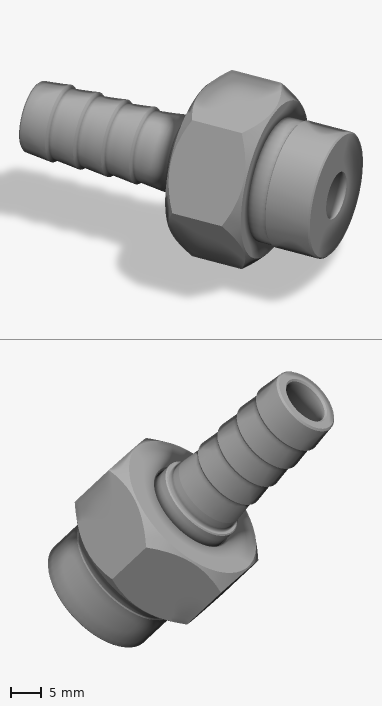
import cadquery as cq
import math


BORE_DIAMETER = 8.0
BORE_CHAMFER = 0.3

BARB_COUNT = 5
BARB_PITCH = 5.0
BARB_CREST_DIAMETER = 13.0
BARB_ROOT_DIAMETER = 12.0
TIP_CHAMFER = 0.3
COLLAR_DIAMETER = 15.0
COLLAR_START = 27.0
COLLAR_CHAMFER = 0.2
NECK_FILLET = 0.4

NUT_START = 29.5
NUT_LENGTH = 13.5
NUT_ACROSS_FLATS = 27.0
NUT_FACE_DIAMETER = 26.5
NUT_HOLE_DIAMETER = 15.5
NUT_HOLE_CHAMFER = 0.3

TOTAL_LENGTH = 54.0
STUB_NECK_DIAMETER = 20.9
STUB_DIAMETER = 21.3
STUB_SHOULDER_START = 46.0
STUB_END_CHAMFER = 0.25

bore_radius = BORE_DIAMETER / 2
crest_radius = BARB_CREST_DIAMETER / 2
root_radius = BARB_ROOT_DIAMETER / 2
barb_step = crest_radius - root_radius
collar_radius = COLLAR_DIAMETER / 2
nut_end = NUT_START + NUT_LENGTH
nut_across_corners = NUT_ACROSS_FLATS / math.cos(math.pi / 6)


def revolve_about_x(profile):
    """Turn a closed (x, radius) profile around the X axis."""
    return profile.close().revolve(360, (0, 0, 0), (1, 0, 0))


def make_nipple():
    """Barbed tail and collar, bored through and ending flush with the nut's rear face."""
    tip_radius = root_radius - TIP_CHAMFER
    profile = (
        cq.Workplane("XZ")
        .moveTo(BORE_CHAMFER, bore_radius)
        .lineTo(0, bore_radius + BORE_CHAMFER)
        .lineTo(0, tip_radius)
        .lineTo(TIP_CHAMFER, root_radius)
    )
    for barb in range(1, BARB_COUNT):
        crest = barb * BARB_PITCH
        profile = profile.lineTo(crest, crest_radius).lineTo(crest + barb_step, root_radius)
    fillet_mid = NECK_FILLET * math.sqrt(0.5)
    fillet_start = COLLAR_START - NECK_FILLET
    fillet_end_radius = crest_radius + NECK_FILLET
    profile = (
        profile.lineTo(BARB_COUNT * BARB_PITCH, crest_radius)
        .lineTo(fillet_start, crest_radius)
        .threePointArc(
            (fillet_start + fillet_mid, fillet_end_radius - fillet_mid),
            (COLLAR_START, fillet_end_radius),
        )
        .lineTo(COLLAR_START, collar_radius - COLLAR_CHAMFER)
        .lineTo(COLLAR_START + COLLAR_CHAMFER, collar_radius)
        .lineTo(nut_end, collar_radius)
        .lineTo(nut_end, bore_radius)
    )
    return revolve_about_x(profile)


def make_nut():
    """Hexagon with corners on Y, 45-degree chamfered corners and a clearance hole."""
    hexagon = (
        cq.Workplane("YZ")
        .workplane(offset=NUT_START)
        .polygon(6, nut_across_corners)
        .extrude(NUT_LENGTH)
    )
    corner_chamfer = (nut_across_corners - NUT_FACE_DIAMETER) / 2
    corner_envelope = (
        cq.Workplane("YZ")
        .workplane(offset=NUT_START)
        .circle(nut_across_corners / 2)
        .extrude(NUT_LENGTH)
        .edges()
        .chamfer(corner_chamfer)
    )
    return (
        hexagon.intersect(corner_envelope)
        .faces("<X")
        .workplane(origin=(NUT_START, 0, 0))
        .hole(NUT_HOLE_DIAMETER)
        .faces("<X")
        .edges(cq.selectors.RadiusNthSelector(0))
        .chamfer(NUT_HOLE_CHAMFER)
    )


def make_stub():
    """Round stub with a narrower neck behind the nut and a chamfered rear end."""
    neck_radius = STUB_NECK_DIAMETER / 2
    stub_radius = STUB_DIAMETER / 2
    shoulder_rise = stub_radius - neck_radius
    profile = (
        cq.Workplane("XZ")
        .moveTo(nut_end, bore_radius)
        .lineTo(nut_end, neck_radius)
        .lineTo(STUB_SHOULDER_START, neck_radius)
        .lineTo(STUB_SHOULDER_START + shoulder_rise, stub_radius)
        .lineTo(TOTAL_LENGTH - STUB_END_CHAMFER, stub_radius)
        .lineTo(TOTAL_LENGTH, stub_radius - STUB_END_CHAMFER)
        .lineTo(TOTAL_LENGTH, bore_radius)
    )
    return revolve_about_x(profile)


nipple = make_nipple()
nut = make_nut()
stub = make_stub()

result = cq.Compound.makeCompound([nipple.val(), nut.val(), stub.val()])